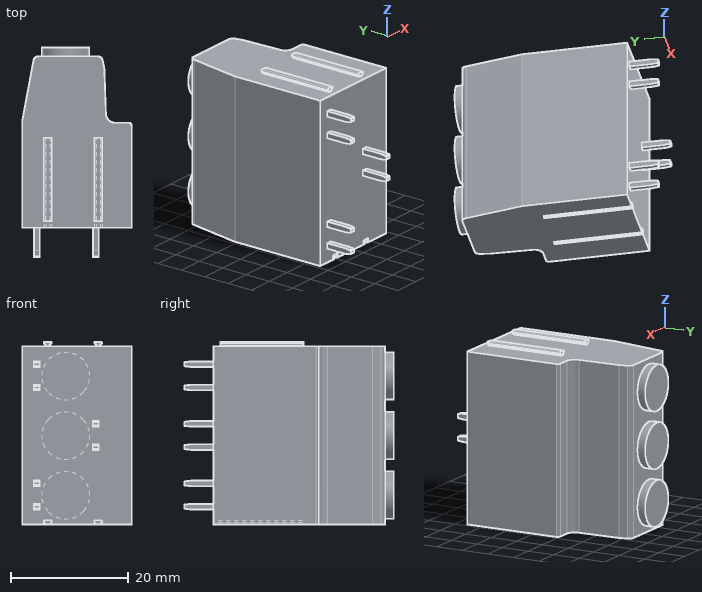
import cadquery as cq


pole_count = 3
pole_pitch = 10.15
housing_width = 18.7
housing_height = 30.45
overall_height = 31.2
pin_length = 5.0
screw_height = 1.5
overall_depth = 35.8
housing_depth = overall_depth - pin_length - screw_height

slope_start_y = 18.33
slope_top_x = 2.05
tower_top_x = 13.6
tower_bend_x = 14.05
tower_bend_drop = 2.2
tower_foot_x = 14.35
shelf_y = 17.95
tower_corner_radius = 0.9
shelf_inner_radius = 1.5
shelf_outer_radius = 0.5

screw_diameter = 8.13
screw_x = 7.37

pin_size = 1.0
pin_spacing = 3.97
outer_pole_pin_x = 2.5
middle_pole_pin_x = 12.55
pin_taper_length = 1.18
pin_taper_end_size = 0.75
pin_tip_bevel = 0.15
pin_tip_size = 0.5

rib_centers_x = (4.33, 12.95)
rib_start_y = 1.15
rib_end_y = 15.4
rib_width = 1.35
rib_height = overall_height - housing_height
rib_throat_width = 0.65
rib_neck_height = 0.18
rib_flare_height = 0.3
rib_outer_radius = 0.25
rib_inner_radius = 0.15
groove_neck_height = 0.1


def round_corner(body, x, y, radius):
    """Fillet the Z-parallel edge that passes through (x, y)."""
    edge = cq.selectors.NearestToPointSelector((x, y, housing_height / 2))
    return body.edges("|Z").edges(edge).fillet(radius)


def make_housing():
    """Extrude the stepped side outline and round its corners."""
    outline = [
        (0, 0),
        (housing_width, 0),
        (housing_width, shelf_y),
        (tower_foot_x, shelf_y),
        (tower_bend_x, housing_depth - tower_bend_drop),
        (tower_top_x, housing_depth),
        (slope_top_x, housing_depth),
        (0, slope_start_y),
    ]
    housing = cq.Workplane("XY").polyline(outline).close().extrude(housing_height)
    housing = round_corner(housing, slope_top_x, housing_depth, tower_corner_radius)
    housing = round_corner(housing, tower_top_x, housing_depth, tower_corner_radius)
    housing = round_corner(housing, tower_foot_x, shelf_y, shelf_inner_radius)
    return round_corner(housing, housing_width, shelf_y, shelf_outer_radius)


def make_screw(z):
    """Plain round screw head standing on the back face."""
    back_face = cq.Workplane("XZ", origin=(screw_x, housing_depth, z))
    return back_face.circle(screw_diameter / 2).extrude(-screw_height)


def make_pin(x, z):
    """Square pin on the front face, tapered in height and bevelled at its tip."""
    shoulder_y = -pin_length + pin_taper_length
    bevel_y = -pin_length + pin_tip_bevel
    upper_side = [
        (0, pin_size / 2),
        (shoulder_y, pin_size / 2),
        (bevel_y, pin_taper_end_size / 2),
        (-pin_length, pin_tip_size / 2),
    ]
    lower_side = [(y, -half_height) for y, half_height in reversed(upper_side)]
    side_plane = cq.Workplane("YZ", origin=(x, 0, z))
    return side_plane.polyline(upper_side + lower_side).close().extrude(pin_size / 2, both=True)


def make_rail(x, base_z, neck_height, start_y, end_y):
    """Bar along Y with a narrow neck, flared flanks and rounded top edges.

    The larger round is on the side that faces away from the other rail.
    """
    flare_top = neck_height + rib_flare_height
    right_side = [
        (rib_throat_width / 2, 0),
        (rib_throat_width / 2, neck_height),
        (rib_width / 2, flare_top),
        (rib_width / 2, rib_height),
    ]
    left_side = [(-half_width, z) for half_width, z in reversed(right_side)]
    section_plane = cq.Workplane("XZ", origin=(x, start_y, base_z))
    rail = section_plane.polyline(right_side + left_side).close().extrude(start_y - end_y)
    left_radius = rib_outer_radius
    right_radius = rib_inner_radius
    if x > sum(rib_centers_x) / 2:
        left_radius, right_radius = right_radius, left_radius
    rail = rail.faces(">Z").edges("|Y").edges("<X").fillet(left_radius)
    return rail.faces(">Z").edges("|Y").edges(">X").fillet(right_radius)


result = make_housing()

for pole in range(pole_count):
    pole_z = housing_height / 2 + (pole - (pole_count - 1) / 2) * pole_pitch
    is_outer_pole = pole in (0, pole_count - 1)
    pin_x = outer_pole_pin_x if is_outer_pole else middle_pole_pin_x
    result = result.union(make_screw(pole_z))
    for side in (-1, 1):
        result = result.union(make_pin(pin_x, pole_z + side * pin_spacing / 2))

for rib_x in rib_centers_x:
    result = result.union(make_rail(rib_x, housing_height, rib_neck_height, rib_start_y, rib_end_y))
    result = result.cut(make_rail(rib_x, 0, groove_neck_height, 0, rib_end_y))